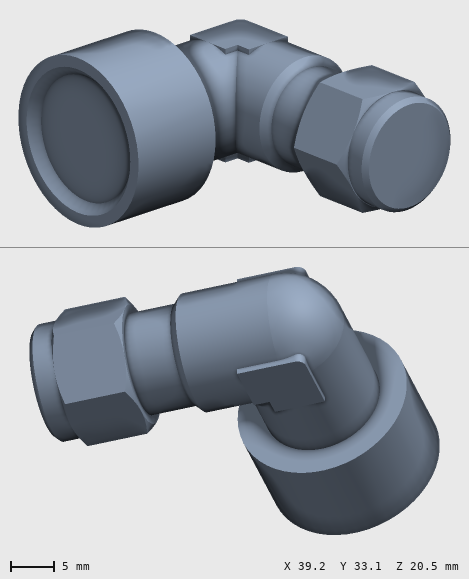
import cadquery as cq
import math


elbow_radius = 7.0
arm_end_x = 12.05
arm_chamfer = 1.0
neck_radius = elbow_radius - arm_chamfer

socket_radius = 10.25
socket_length = 11.97
socket_end_y = -25.0
mouth_radius = 8.85
floor_radius = 7.65
recess_depth = mouth_radius - floor_radius

nut_start_x = 17.55
nut_length = 8.5
nut_flats = 14.0
nut_corners = nut_flats / math.cos(math.pi / 6)
nut_chamfer_angle = math.radians(30)
collar_radius = 6.9
collar_end_x = 39.25 - socket_radius
collar_chamfer = 0.6

pad_outer = 3.02
pad_long = 4.95
pad_corner_radius = 1.02


def cylinder_x(start_x, end_x, radius):
    return cq.Workplane("YZ").workplane(offset=start_x).circle(radius).extrude(end_x - start_x)


def cylinder_y(start_y, end_y, radius):
    return cq.Workplane("XZ", origin=(0, start_y, 0)).circle(radius).extrude(start_y - end_y)


def elbow_body():
    """Two plain tubes with a ball closing the outside of the bend."""
    x_arm = cylinder_x(0, arm_end_x, elbow_radius).faces(">X").chamfer(arm_chamfer)
    y_arm = cylinder_y(0, socket_end_y + socket_length, elbow_radius)
    ball = cq.Workplane("XY").sphere(elbow_radius)
    return ball.union(x_arm).union(y_arm)


def socket():
    recess = (
        cq.Workplane("XZ", origin=(0, socket_end_y, 0))
        .circle(mouth_radius)
        .workplane(offset=-recess_depth)
        .circle(floor_radius)
        .loft(ruled=True)
    )
    return cylinder_y(socket_end_y + socket_length, socket_end_y, socket_radius).cut(recess)


def nut():
    """Hexagon with corners on +Y and -Y, both ends coned down to the flats."""
    hexagon = (
        cq.Workplane("YZ").workplane(offset=nut_start_x)
        .polygon(6, nut_corners).extrude(nut_length)
    )
    flat_radius = nut_flats / 2
    corner_radius = nut_corners / 2
    setback = (corner_radius - flat_radius) * math.tan(nut_chamfer_angle)
    end_x = nut_start_x + nut_length
    envelope = (
        cq.Workplane("XY")
        .polyline([
            (nut_start_x, 0),
            (nut_start_x, flat_radius),
            (nut_start_x + setback, corner_radius),
            (end_x - setback, corner_radius),
            (end_x, flat_radius),
            (end_x, 0),
        ])
        .close()
        .revolve(360, (0, 0, 0), (1, 0, 0))
    )
    return hexagon.intersect(envelope)


def collar():
    return cylinder_x(nut_start_x, collar_end_x, collar_radius).faces(">X").chamfer(collar_chamfer)


def pads():
    """L-shaped flats level with the crest of the tubes, above and below."""
    return (
        cq.Workplane("XY").workplane(offset=-elbow_radius)
        .moveTo(-pad_outer, -pad_long)
        .lineTo(pad_outer, -pad_long)
        .lineTo(pad_outer, -pad_outer)
        .lineTo(pad_long, -pad_outer)
        .lineTo(pad_long, pad_outer)
        .lineTo(pad_corner_radius - pad_outer, pad_outer)
        .radiusArc((-pad_outer, pad_outer - pad_corner_radius), -pad_corner_radius)
        .close()
        .extrude(2 * elbow_radius)
    )


neck = cylinder_x(0, nut_start_x, neck_radius)
result = elbow_body().union(pads()).union(socket()).union(neck).union(nut()).union(collar())